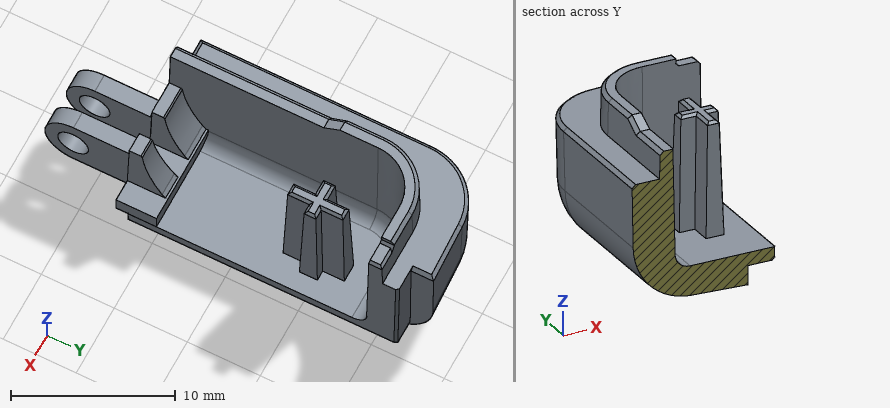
import cadquery as cq
import math


width = 9.8
length = 26.67
height = 11.0
overrun = 2.0

shell_front = 6.5
shell_top = 8.53
shell_end_x = 8.12
shell_radius = 4.2
shell_draft = 1.0
shell_slope = math.tan(math.radians(2.4))
shell_edge = 0.25

tongue_inset_rear = 1.54
tongue_inset_bottom = 1.29
tongue_start_x = 5.0
tongue_edge = 0.18

body_front = 5.78
body_bottom = 2.21
body_left = 1.73
body_rear = 24.21
body_corner = 4.1
body_floor_radius = 2.85
body_draft = 1.4
body_slope = 0.02
body_front_lean = 0.1
rim_low = 10.35
rim_ramp_start = 16.4
rim_ramp_end = 17.5
rim_edge = 0.25
notch_x = 8.14
notch_depth = 0.5
notch_front = 21.0

cavity_left = 2.82
cavity_rear = 23.12
cavity_corner = 3.0
cavity_floor = 2.2
cavity_draft = 1.2
cavity_floor_radius = 1.0
shelf_top = 3.3
shelf_rear = 8.57

block_top = 7.0
block_crest = 0.86
block_bevel = 0.1
block_rear = 8.41
block_foot = 0.24
block_hollow = 0.235
block_side_lean = 0.16
left_block = (2.5, 5.18)
right_block = (6.83, 8.15)

lug_radius = 1.94
lug_z = 4.35
lug_hole = 2.1
lug_side_lean = 0.08
lug_root = 0.1
lug_embed = 0.5
left_lug = (3.94, 5.18)
right_lug = (6.82, 8.0)

post_x = 7.2
post_y = 18.3
post_bar_x = 7.02
post_length_x = 2.98
post_length_y = 4.2
post_thickness = 1.23
post_top = 9.88
post_draft = 1.6
post_edge = 0.18


def box(x0, x1, y0, y1, z0, z1):
    return cq.Workplane("XY").box(x1 - x0, y1 - y0, z1 - z0, centered=False).translate((x0, y0, z0))


def edges_near(solid, points):
    """Select the edge of solid closest to each point."""
    found = cq.Workplane("XY").newObject([solid.val()])
    edges = [solid.edges(cq.selectors.NearestToPointSelector(p)).val() for p in points]
    return found.newObject(edges)


def side_prism(outline):
    """Extrude a YZ outline over the full width."""
    return outline.extrude(width)


def body_front_at(z):
    """Y of the leaning front face of the body at height z."""
    return body_front + body_front_lean * (z - body_bottom) / (rim_low - body_bottom)


def space_above_slope(low_x, low_z, slope):
    """Everything above a plane that rises from (low_x, low_z) toward -X and is level past low_x."""
    return (
        cq.Workplane("XZ")
        .moveTo(-overrun, height)
        .lineTo(-overrun, low_z + slope * (low_x + overrun))
        .lineTo(low_x, low_z)
        .lineTo(width + overrun, low_z)
        .lineTo(width + overrun, height)
        .close()
        .extrude(-(length + overrun))
    )


def make_shell():
    rear_drop = shell_slope * shell_end_x
    plan = (
        cq.Workplane("XY", origin=(0, 0, shell_top))
        .moveTo(0, shell_front)
        .lineTo(shell_end_x, shell_front)
        .lineTo(shell_end_x, length)
        .lineTo(0, length - rear_drop)
        .close()
        .extrude(-(shell_top + overrun), taper=shell_draft)
    )
    bottom_end_x = shell_end_x - shell_top * math.tan(math.radians(shell_draft))
    shell = plan.intersect(space_above_slope(bottom_end_x, 0, shell_slope))
    mid_x = shell_end_x / 2
    mid_y = (shell_front + length) / 2
    mid_z = shell_top / 2
    round_edges = [
        (0, length - rear_drop, mid_z),
        (0, mid_y, rear_drop),
        (mid_x, length, 0),
    ]
    shell = edges_near(shell, round_edges).fillet(shell_radius)
    shell = shell.faces(">Z").edges().chamfer(shell_edge)
    return edges_near(shell, [(shell_end_x, shell_front, mid_z)]).chamfer(shell_edge)


def make_tongue():
    tongue = (
        cq.Workplane("XY", origin=(0, 0, shell_top))
        .moveTo(tongue_start_x, shell_front)
        .lineTo(width + overrun, shell_front)
        .lineTo(width + overrun, length - tongue_inset_rear)
        .lineTo(tongue_start_x, length - tongue_inset_rear)
        .close()
        .extrude(-(shell_top - tongue_inset_bottom), taper=shell_draft)
    )
    tongue = tongue.intersect(box(0, width, 0, length, 0, height))
    return tongue.faces(">X").edges("<Z or >Y").chamfer(tongue_edge)


def make_body():
    body = (
        cq.Workplane("XY", origin=(0, 0, body_bottom))
        .moveTo(width + overrun, 0)
        .lineTo(body_left, 0)
        .lineTo(body_left, body_rear - body_corner)
        .radiusArc((body_left + body_corner, body_rear), body_corner)
        .lineTo(width + overrun, body_rear)
        .close()
        .extrude(height - body_bottom, taper=body_draft)
    )
    left_edge_z = body_bottom + body_slope * (width - body_left)
    lean = math.tan(math.radians(body_draft)) * (height - body_bottom)
    section = (
        cq.Workplane("XZ")
        .moveTo(width, body_bottom)
        .lineTo(body_left, left_edge_z)
        .lineTo(body_left + lean, height)
        .lineTo(width, height)
        .close()
        .extrude(-length)
    )
    section = edges_near(section, [(body_left, length / 2, left_edge_z)]).fillet(body_floor_radius)
    body = body.intersect(section)
    side = (
        cq.Workplane("YZ")
        .moveTo(body_front, body_bottom)
        .lineTo(body_front_at(rim_low), rim_low)
        .lineTo(rim_ramp_start, rim_low)
        .lineTo(rim_ramp_end, height)
        .lineTo(length, height)
        .lineTo(length, body_bottom)
        .close()
    )
    body = body.intersect(side_prism(side))
    left = body_left + lean
    rear = body_rear - lean
    diagonal = body_corner * (1 - math.sqrt(0.5))
    outer_rim = [
        (left, length / 3, rim_low),
        (left, (rim_ramp_start + rim_ramp_end) / 2, (rim_low + height) / 2),
        (left, (rim_ramp_end + rear - body_corner) / 2, height),
        (left + diagonal, rear - diagonal, height),
        ((left + body_corner + width) / 2, rear, height),
    ]
    body = edges_near(body, outer_rim).chamfer(rim_edge)
    notch_top = height - notch_depth
    notch = box(notch_x, width + overrun, notch_front, length, notch_top, height + overrun)
    notch = notch.edges("<X and <Z").chamfer(tongue_edge)
    body = body.cut(notch)
    notch_rim = [
        ((notch_x + width) / 2, rear, notch_top),
        (width, (notch_front + rear) / 2, notch_top),
    ]
    return edges_near(body, notch_rim).chamfer(tongue_edge)


def make_cavity():
    cavity = (
        cq.Workplane("XY", origin=(0, 0, height))
        .moveTo(width + overrun, body_front - overrun)
        .lineTo(cavity_left, body_front - overrun)
        .lineTo(cavity_left, cavity_rear - cavity_corner)
        .radiusArc((cavity_left + cavity_corner, cavity_rear), cavity_corner)
        .lineTo(width + overrun, cavity_rear)
        .close()
        .extrude(-(height - cavity_floor), taper=cavity_draft)
    )
    floor_edge = [(cavity_left, length / 2, cavity_floor)]
    return edges_near(cavity, floor_edge).fillet(cavity_floor_radius)


def make_shelf(body):
    side = (
        cq.Workplane("YZ")
        .moveTo(body_front_at(cavity_floor), cavity_floor)
        .lineTo(body_front_at(shelf_top), shelf_top)
        .lineTo(shelf_rear, shelf_top)
        .lineTo(shelf_rear, cavity_floor)
        .close()
    )
    shelf = side_prism(side)
    return shelf.intersect(body)


def leaning_slab(top_span, z0, z1, lean):
    """Prism along Y whose sides spread outward by lean from z1 down to z0."""
    left, right = top_span
    return (
        cq.Workplane("XZ")
        .moveTo(left - lean, z0)
        .lineTo(left, z1)
        .lineTo(right, z1)
        .lineTo(right + lean, z0)
        .close()
        .extrude(-length)
        .translate((0, -overrun, 0))
    )


def make_block(top_span):
    crest_end = body_front + block_crest
    slope_top = (crest_end + block_bevel, block_top - block_bevel)
    slope_foot = (block_rear - block_foot, shelf_top + block_foot)
    run = slope_foot[0] - slope_top[0]
    drop = slope_top[1] - slope_foot[1]
    chord = math.hypot(run, drop)
    slope_mid = (
        (slope_top[0] + slope_foot[0]) / 2 - block_hollow * drop / chord,
        (slope_top[1] + slope_foot[1]) / 2 - block_hollow * run / chord,
    )
    side = (
        cq.Workplane("YZ")
        .moveTo(body_front_at(body_bottom), body_bottom)
        .lineTo(body_front_at(block_top), block_top)
        .lineTo(crest_end, block_top)
        .lineTo(*slope_top)
        .threePointArc(slope_mid, slope_foot)
        .lineTo(block_rear, shelf_top)
        .lineTo(block_rear, body_bottom)
        .close()
    )
    slab = leaning_slab(top_span, shelf_top, block_top, block_side_lean)
    return side_prism(side).intersect(slab)


def make_lug(top_span):
    top = lug_z + lug_radius
    root_y = body_front_at(top)
    side = (
        cq.Workplane("YZ")
        .moveTo(body_front + lug_embed, lug_z - lug_radius)
        .lineTo(lug_radius, lug_z - lug_radius)
        .threePointArc((0, lug_z), (lug_radius, top))
        .lineTo(root_y - lug_root, top)
        .lineTo(root_y, top + lug_root)
        .lineTo(body_front + lug_embed, top + lug_root)
        .close()
    )
    slab = leaning_slab(top_span, lug_z - lug_radius, top + lug_root, lug_side_lean)
    lug = side_prism(side).intersect(slab)
    hole = cq.Workplane("YZ").center(lug_radius, lug_z).circle(lug_hole / 2).extrude(width)
    return lug.cut(hole)


def make_post_bar(center_x, size_x, size_y):
    return (
        cq.Workplane("XY", origin=(center_x, post_y, cavity_floor))
        .rect(size_x, size_y)
        .extrude(post_top - cavity_floor, taper=post_draft)
    )


def make_post():
    short_bar = make_post_bar(post_bar_x, post_length_x, post_thickness)
    long_bar = make_post_bar(post_x, post_thickness, post_length_y)
    return short_bar.union(long_bar).faces(">Z").edges().chamfer(post_edge)


body = make_body()
result = make_shell().union(make_tongue()).union(body).cut(make_cavity())
result = result.union(make_shelf(body))
for block_span in (left_block, right_block):
    result = result.union(make_block(block_span))
for lug_span in (left_lug, right_lug):
    result = result.union(make_lug(lug_span))
result = result.union(make_post())